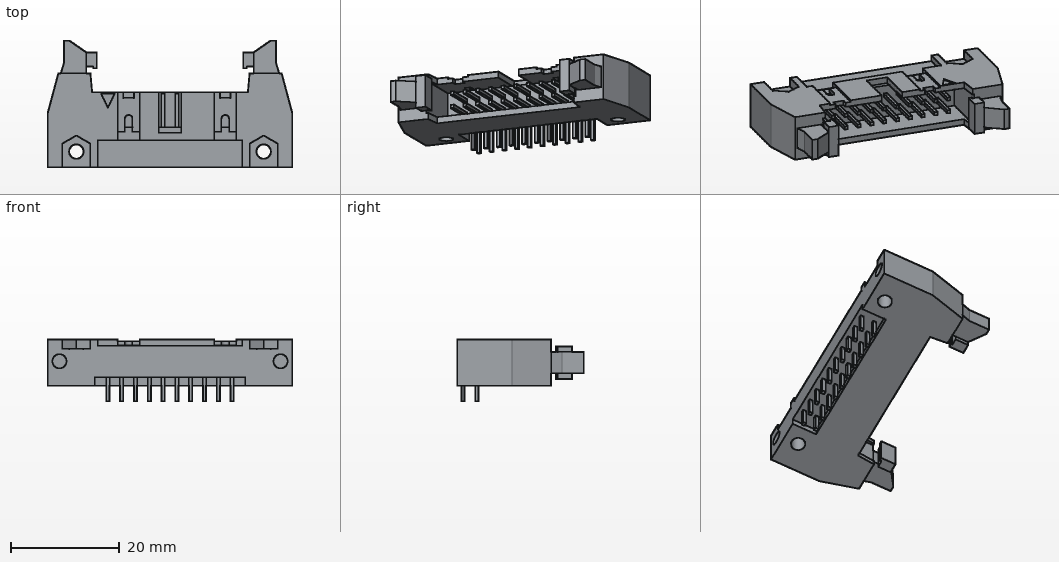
import cadquery as cq


length = 45.0
height = 8.55
shoulder_y = 10.05
tower_y = 17.3
tower_outer_x = 20.55
tower_inner_x = 14.62
tower_root_x = 14.3
mouth_y = 13.8

wall = 1.15
cavity_half_width = 15.0
cavity_back_y = 7.35

recess_width = 26.65
recess_y = 5.0
recess_depth = 1.12
channel_centers = (-7.6, 10.15)
channel_width = 4.05
channel_depth = 0.3
channel_step_y = 6.52
channel_step_depth = 1.05
slot_width = 1.4
slot_end_y = 9.65
notch_width = 2.0
notch_depth = 1.05
key_width = 4.05
key_end_y = 6.4
mark_width = 2.48
mark_center_x = -11.45
mark_base_y = 13.5
mark_tip_y = 11.0
mark_depth = 0.2

hole_diameter = 2.6
mount_x = 17.25
mount_y = 2.9
nut_width = 5.15
nut_depth = 1.7
rear_hole_x = 20.35
rear_hole_z = 4.55
rear_hole_depth = 5.4

relief_width = 27.7
relief_depth = 1.58
relief_y = 4.85

pins_per_row = 10
pin_row_length = 22.85
pin_pitch = pin_row_length / (pins_per_row - 1)
pin_size = 0.65
pin_tip_y = 13.5
lead_length = 2.85
rear_lead_y = 1.1

latch_height = 3.95
latch_inner_x = 15.4
latch_root_x = 20.1
latch_outer_x = 19.55
latch_bend_y = 19.2
latch_tip_x = 18.5
latch_tip_y = 23.3
hook_height = 6.05
hook_inner_x = 13.45
hook_far_y = 21.15
hook_near_y = 18.55
barb_x = 14.15
barb_y = 18.2

mid_z = height / 2
overlap = 0.45


def block(x_range, y_range, z_range):
    """Box given by its two limits along each axis."""
    corner = (x_range[0], y_range[0], z_range[0])
    size = (x_range[1] - x_range[0], y_range[1] - y_range[0], z_range[1] - z_range[0])
    return cq.Workplane().box(*size, centered=False).translate(corner)


def centered_on(x, width):
    """Limits of a stretch of the given width around x."""
    return (x - width / 2, x + width / 2)


def prism(points, z_range):
    """Upright prism over an outline in X and Y."""
    outline = cq.Workplane("XY", origin=(0, 0, z_range[0])).polyline(points).close()
    return outline.extrude(z_range[1] - z_range[0])


def both_sides(solid):
    """A solid together with its mirror image across the YZ plane."""
    return solid.union(solid.mirror("YZ"))


def from_top(depth):
    """Z limits of a cut that reaches the given depth below the top face."""
    return (height - depth, height + overlap)


def make_housing():
    right_edge = [
        (length / 2, 0),
        (length / 2, shoulder_y),
        (tower_outer_x, tower_y),
        (tower_inner_x, tower_y),
        (tower_root_x, mouth_y),
    ]
    left_edge = [(-x, y) for x, y in reversed(right_edge)]
    housing = prism(right_edge + left_edge, (0, height))
    cavity = block(
        (-cavity_half_width, cavity_half_width),
        (cavity_back_y, tower_y + overlap),
        (wall, height - wall),
    )
    relief = block(centered_on(0, relief_width), (-overlap, relief_y), (-overlap, relief_depth))
    return housing.cut(cavity).cut(relief)


def cut_mounting_holes(housing):
    nut_corner_radius = nut_width / 3**0.5
    pocket_outline = [
        (mount_x - nut_width / 2, -overlap),
        (mount_x + nut_width / 2, -overlap),
        (mount_x + nut_width / 2, mount_y + nut_corner_radius / 2),
        (mount_x, mount_y + nut_corner_radius),
        (mount_x - nut_width / 2, mount_y + nut_corner_radius / 2),
    ]
    pocket = prism(pocket_outline, from_top(nut_depth))
    mount_hole = cq.Workplane().center(mount_x, mount_y).circle(hole_diameter / 2).extrude(height)
    rear_hole = (
        cq.Workplane("XZ")
        .center(rear_hole_x, rear_hole_z)
        .circle(hole_diameter / 2)
        .extrude(-rear_hole_depth)
    )
    return housing.cut(both_sides(pocket.union(mount_hole).union(rear_hole)))


def channel_cut(x):
    """Shallow channel with its low rear step, round-ended slot into the cavity and mouth notch."""
    sides = centered_on(x, channel_width)
    channel = block(sides, (recess_y, mouth_y), from_top(channel_depth))
    step = block(sides, (recess_y, channel_step_y), from_top(channel_step_depth))
    slot_radius = slot_width / 2
    slot = (
        cq.Workplane("XY", origin=(x, 0, height - wall))
        .moveTo(-slot_radius, cavity_back_y)
        .lineTo(-slot_radius, slot_end_y - slot_radius)
        .threePointArc((0, slot_end_y), (slot_radius, slot_end_y - slot_radius))
        .lineTo(slot_radius, cavity_back_y)
        .close()
        .extrude(wall)
    )
    slot_entry = block(
        centered_on(x, slot_width),
        (channel_step_y, cavity_back_y),
        from_top(channel_step_depth),
    )
    notch = block(centered_on(x, notch_width), (mouth_y - notch_depth, mouth_y), from_top(wall))
    return channel.union(step).union(slot_entry).union(slot).union(notch)


def cut_top_features(housing):
    recess = block(centered_on(0, recess_width), (-overlap, recess_y), from_top(recess_depth))
    key_window = block(centered_on(0, key_width), (key_end_y, mouth_y), from_top(wall))
    mark_left, mark_right = centered_on(mark_center_x, mark_width)
    pin_one_mark = prism(
        [(mark_left, mark_base_y), (mark_center_x, mark_tip_y), (mark_right, mark_base_y)],
        from_top(mark_depth),
    )
    housing = housing.cut(recess).cut(key_window).cut(pin_one_mark)
    for x in channel_centers:
        housing = housing.cut(channel_cut(x))
    return housing


def make_contacts():
    """Two rows of straight pins in the cavity and two rows of leads below."""
    contacts = cq.Workplane()
    for column in range(pins_per_row):
        x = column * pin_pitch - pin_row_length / 2
        for row in range(2):
            pin_z = mid_z + (row - 0.5) * pin_pitch
            lead_y = rear_lead_y + row * pin_pitch
            pin = block(
                centered_on(x, pin_size),
                (cavity_back_y - overlap, pin_tip_y),
                centered_on(pin_z, pin_size),
            )
            lead = block(
                centered_on(x, pin_size),
                centered_on(lead_y, pin_size),
                (-lead_length, relief_depth + overlap),
            )
            contacts = contacts.add(pin).add(lead)
    return contacts.combine()


def make_latch():
    """Latch on the +X side: a lever rooted in the tower, with a taller hook."""
    lever = prism(
        [
            (latch_inner_x, tower_y - overlap),
            (latch_root_x, tower_y - overlap),
            (latch_root_x, tower_y),
            (latch_outer_x, latch_bend_y),
            (latch_outer_x, latch_tip_y),
            (latch_tip_x, latch_tip_y),
            (latch_inner_x, hook_far_y),
        ],
        centered_on(mid_z, latch_height),
    )
    hook = prism(
        [
            (latch_inner_x, hook_far_y),
            (hook_inner_x, hook_far_y),
            (hook_inner_x, barb_y),
            (barb_x, barb_y),
            (barb_x, hook_near_y),
            (latch_inner_x, hook_near_y),
        ],
        centered_on(mid_z, hook_height),
    )
    return lever.union(hook)


housing = cut_top_features(cut_mounting_holes(make_housing()))
result = housing.union(make_contacts()).union(both_sides(make_latch()))